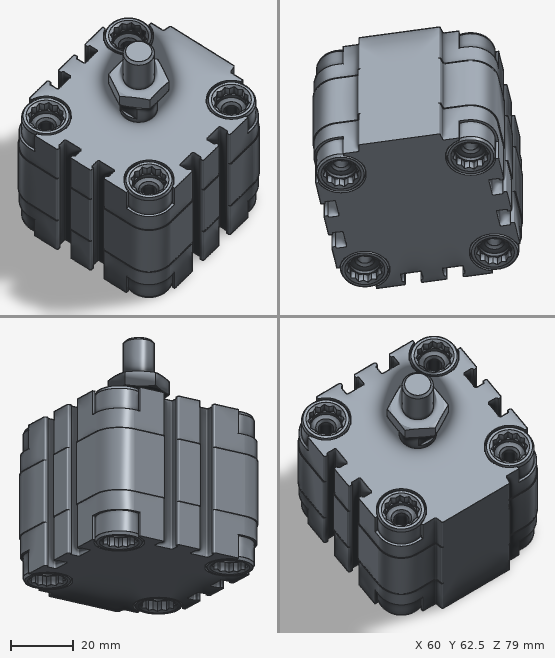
import cadquery as cq
import math

OVERALL_HEIGHT = 79.0
TOLERANCE = 0.01

BARREL_WIDTH = 60.0
CAP_STEP = 0.3
HOUSING_HEIGHT = 50.55
CAP_HEIGHT = 14.7
SCREW_PITCH = 42.0
CAP_WIDTH = BARREL_WIDTH - 2 * CAP_STEP

OVERALL_DEPTH = 62.5
RAIL_TOP_Y = OVERALL_DEPTH - BARREL_WIDTH / 2
RAIL_TOP_WIDTH = 26.7
RAIL_BASE_WIDTH = 27.8
RAIL_STEP = 0.2
EDGE_RADIUS = 0.5

SLOT_SPACING = 13.6
SLOT_MOUTH_WIDTH = 5.2
SLOT_WIDTH = 6.8
SLOT_MOUTH_DEPTH = 1.65
SLOT_DEPTH = 5.1

HEAD_DIAMETER = 15.65
HEAD_SEAT_DIAMETER = 16.0
HEAD_CHAMFER_HEIGHT = 1.0
HEAD_CHAMFER_WIDTH = 0.5
POCKET_DEPTH = 8.05
POCKET_WALL = 18.7
SOCKET_RIM_DIAMETER = 12.7
SOCKET_RIM_SLOPE = math.tan(math.radians(30))
SOCKET_POINT_DIAMETER = 11.5
SOCKET_POINT_DEPTH = 3.6
SOCKET_BORE_DIAMETER = 10.0
SOCKET_DEPTH = 5.0
SCREW_HOLE_DIAMETER = 4.9
SCREW_SINK_DIAMETER = 6.55

ROD_DIAMETER = 12.0
ROD_SHOULDER_Z = 56.95
FLAT_BOTTOM_Z = 52.3
FLATS_WIDTH = 10.0
NECK_DIAMETER = 8.4
THREAD_BOTTOM_Z = 58.8
THREAD_DIAMETER = 10.0
THREAD_CHAMFER = (THREAD_DIAMETER - NECK_DIAMETER) / 2

NUT_BOTTOM_Z = 60.9
NUT_HEIGHT = 5.05
NUT_ACROSS_FLATS = 16.9
NUT_CONE_SLOPE = math.tan(math.radians(15))
NUT_CORNER_DIAMETER = NUT_ACROSS_FLATS / math.cos(math.pi / 6)


def housing_section(width, rail_inset, bottom, height):
    """Slotted, railed block with its corners rounded about the screw axes."""
    half_width = width / 2
    half_top = RAIL_TOP_WIDTH / 2 - rail_inset
    half_base = RAIL_BASE_WIDTH / 2 - rail_inset
    block = (
        cq.Workplane("XY", origin=(0, 0, bottom))
        .rect(width, width)
        .extrude(height)
        .edges("|Z")
        .fillet((width - SCREW_PITCH) / 2)
    )
    rail = (
        cq.Workplane("XY", origin=(0, 0, bottom))
        .polyline([(-half_base, 0), (-half_base, half_width), (-half_top, RAIL_TOP_Y),
                   (half_top, RAIL_TOP_Y), (half_base, half_width), (half_base, 0)])
        .close()
        .extrude(height)
    )

    def is_rail_or_slot_mouth(edge):
        """True on or outside the side faces, short of the rounded corners."""
        spot = edge.Center()
        near, far = sorted((abs(spot.x), abs(spot.y)))
        return far > half_width - TOLERANCE and near < SCREW_PITCH / 2 - TOLERANCE

    section = block.union(rail).cut(t_slots())
    return section.edges("|Z").filter(is_rail_or_slot_mouth).fillet(EDGE_RADIUS)


def t_slot(offset):
    """Cutter for one T-slot in the -Y side, running the full housing height."""
    outer_y = -BARREL_WIDTH / 2
    mouth = (
        cq.Workplane("XY")
        .center(offset, outer_y)
        .rect(SLOT_MOUTH_WIDTH, 2 * SLOT_DEPTH)
        .extrude(HOUSING_HEIGHT)
    )
    undercut = (
        cq.Workplane("XY")
        .center(offset, outer_y + (SLOT_MOUTH_DEPTH + SLOT_DEPTH) / 2)
        .rect(SLOT_WIDTH, SLOT_DEPTH - SLOT_MOUTH_DEPTH)
        .extrude(HOUSING_HEIGHT)
        .edges("|Z")
        .fillet(EDGE_RADIUS)
    )
    return mouth.union(undercut)


def t_slots():
    cutter = cq.Workplane("XY")
    for side_angle in (-90, 0, 90):
        for offset in (-SLOT_SPACING / 2, SLOT_SPACING / 2):
            cutter = cutter.union(t_slot(offset).rotate((0, 0, 0), (0, 0, 1), side_angle))
    return cutter


def corner_pocket():
    """Cutter for the top +X +Y corner: open pocket that leaves the chamfered screw head."""
    center = SCREW_PITCH / 2
    size = BARREL_WIDTH / 2 - POCKET_WALL
    floor_z = HOUSING_HEIGHT - POCKET_DEPTH
    pocket = (
        cq.Workplane("XY", origin=(POCKET_WALL, POCKET_WALL, floor_z))
        .rect(size, size, centered=False)
        .extrude(POCKET_DEPTH)
    )
    column = cq.Workplane("XY", origin=(center, center, floor_z))
    head_seat = column.circle(HEAD_SEAT_DIAMETER / 2).extrude(POCKET_DEPTH)
    head = (
        column.circle(HEAD_DIAMETER / 2)
        .extrude(POCKET_DEPTH)
        .faces(">Z")
        .chamfer(HEAD_CHAMFER_HEIGHT, HEAD_CHAMFER_WIDTH)
    )
    return pocket.union(head_seat).cut(head)


def socket_star():
    """Two hexagons turned 30 degrees from each other, with points on the X and Y axes."""
    plane = cq.Workplane("XY", origin=(0, 0, -SOCKET_POINT_DEPTH))
    hexagon = plane.polygon(6, SOCKET_POINT_DIAMETER).extrude(SOCKET_POINT_DEPTH)
    return hexagon.union(hexagon.rotate((0, 0, 0), (0, 0, 1), 30))


def screw_socket():
    """Cutter for a 12-point socket whose rim lies at Z = 0 on the Z axis."""
    rim_radius = SOCKET_RIM_DIAMETER / 2
    bore_radius = SOCKET_BORE_DIAMETER / 2
    hole_radius = SCREW_HOLE_DIAMETER / 2
    sink_radius = SCREW_SINK_DIAMETER / 2
    rim_cone_depth = (rim_radius - bore_radius) * SOCKET_RIM_SLOPE
    sink_depth = sink_radius - hole_radius
    turned = (
        cq.Workplane("XZ")
        .polyline([(0, 0), (rim_radius, 0), (bore_radius, -rim_cone_depth),
                   (bore_radius, -SOCKET_DEPTH), (sink_radius, -SOCKET_DEPTH),
                   (hole_radius, -SOCKET_DEPTH - sink_depth), (hole_radius, -HOUSING_HEIGHT / 2),
                   (0, -HOUSING_HEIGHT / 2)])
        .close()
        .revolve(360, (0, 0, 0), (0, 1, 0))
    )
    return turned.union(socket_star())


def screw_corners():
    """Cutters for the corner pockets, heads and sockets at all eight corners."""
    center = SCREW_PITCH / 2
    socket = screw_socket().translate((center, center, HOUSING_HEIGHT))
    upper = corner_pocket().union(socket)
    lower = upper.mirror("XY", (0, 0, HOUSING_HEIGHT / 2))
    pair = upper.union(lower)
    return [pair.rotate((0, 0, 0), (0, 0, 1), 90 * corner) for corner in range(4)]


def build_housing():
    barrel_height = HOUSING_HEIGHT - 2 * CAP_HEIGHT
    body = housing_section(BARREL_WIDTH, 0, CAP_HEIGHT, barrel_height)
    for bottom in (0, HOUSING_HEIGHT - CAP_HEIGHT):
        body = body.union(housing_section(CAP_WIDTH, RAIL_STEP, bottom, CAP_HEIGHT))
    for cutter in screw_corners():
        body = body.cut(cutter)
    return body


def build_piston_rod():
    """Rod standing on the housing's top face, with wrench flats, neck and threaded end."""
    base = (
        cq.Workplane("XY", origin=(0, 0, HOUSING_HEIGHT))
        .circle(ROD_DIAMETER / 2)
        .extrude(FLAT_BOTTOM_Z - HOUSING_HEIGHT)
    )
    flats = (
        cq.Workplane("XY", origin=(0, 0, FLAT_BOTTOM_Z))
        .circle(ROD_DIAMETER / 2)
        .extrude(ROD_SHOULDER_Z - FLAT_BOTTOM_Z)
        .intersect(cq.Workplane("XY").box(ROD_DIAMETER, FLATS_WIDTH, 2 * OVERALL_HEIGHT))
    )
    neck = (
        cq.Workplane("XY", origin=(0, 0, ROD_SHOULDER_Z))
        .circle(NECK_DIAMETER / 2)
        .extrude(THREAD_BOTTOM_Z - ROD_SHOULDER_Z)
    )
    thread = (
        cq.Workplane("XY", origin=(0, 0, THREAD_BOTTOM_Z))
        .circle(THREAD_DIAMETER / 2)
        .extrude(OVERALL_HEIGHT - THREAD_BOTTOM_Z)
        .faces("<Z or >Z")
        .chamfer(THREAD_CHAMFER)
    )
    return base.union(flats).union(neck).union(thread)


def build_lock_nut():
    """Hexagon nut with corners along Y, its corners coned off at both ends."""
    flat_radius = NUT_ACROSS_FLATS / 2
    corner_radius = NUT_CORNER_DIAMETER / 2
    cone_height = (corner_radius - flat_radius) * NUT_CONE_SLOPE
    hexagon = (
        cq.Workplane("XY", origin=(0, 0, NUT_BOTTOM_Z))
        .polygon(6, NUT_CORNER_DIAMETER)
        .extrude(NUT_HEIGHT)
        .rotate((0, 0, 0), (0, 0, 1), 90)
    )
    coned_blank = (
        cq.Workplane("XY", origin=(0, 0, NUT_BOTTOM_Z))
        .circle(corner_radius)
        .extrude(NUT_HEIGHT)
        .faces("<Z or >Z")
        .chamfer(cone_height, corner_radius - flat_radius)
    )
    bore = (
        cq.Workplane("XY", origin=(0, 0, NUT_BOTTOM_Z))
        .circle(THREAD_DIAMETER / 2)
        .extrude(NUT_HEIGHT)
    )
    return hexagon.intersect(coned_blank).cut(bore)


housing = build_housing()
piston_rod = build_piston_rod()
lock_nut = build_lock_nut()

result = cq.Compound.makeCompound([housing.val(), piston_rod.val(), lock_nut.val()])